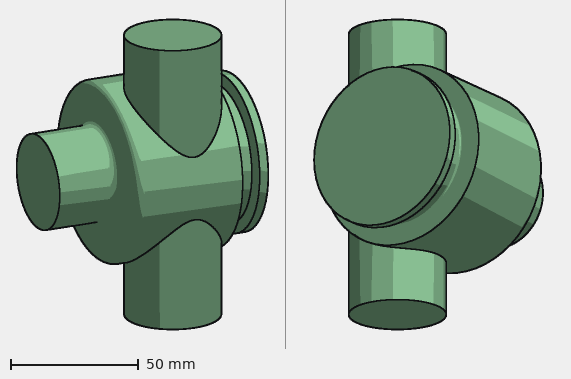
import cadquery as cq
import math

side_pipe_length = 115.1
side_pipe_diameter = 38.2
total_depth = 84.6

body_radius = 73.1 / 2
body_back = 13.5
body_front = 59.4
edge_radius = 3.1
flange_radius = 32.0
flange_rim_depth = 3.8
flange_taper_end = 5.2
neck_radius = 27.8
neck_fillet = 0.7
front_pipe_radius = side_pipe_diameter / 2

side_pipe_offset = 15.1
side_pipe_depth = 33.4


def make_housing():
    """Revolve the flange, neck, body and front pipe about the Y axis."""
    body_edge = body_radius - edge_radius
    pipe_root = front_pipe_radius + edge_radius
    neck_root = neck_radius + neck_fillet
    diagonal = edge_radius * math.sqrt(0.5)
    neck_diagonal = neck_fillet * math.sqrt(0.5)
    profile = (
        cq.Workplane("XY")
        .moveTo(0, 0)
        .lineTo(flange_radius, 0)
        .lineTo(flange_radius, -flange_rim_depth)
        .lineTo(neck_radius, -flange_taper_end)
        .lineTo(neck_radius, -(body_back - neck_fillet))
        .threePointArc(
            (neck_root - neck_diagonal, -(body_back - neck_fillet + neck_diagonal)),
            (neck_root, -body_back),
        )
        .lineTo(body_radius, -body_back)
        .lineTo(body_radius, -(body_front - edge_radius))
        .threePointArc(
            (body_edge + diagonal, -(body_front - edge_radius + diagonal)),
            (body_edge, -body_front),
        )
        .lineTo(pipe_root, -body_front)
        .threePointArc(
            (pipe_root - diagonal, -(body_front + edge_radius - diagonal)),
            (front_pipe_radius, -(body_front + edge_radius)),
        )
        .lineTo(front_pipe_radius, -total_depth)
        .lineTo(0, -total_depth)
        .close()
    )
    return profile.revolve(360, (0, 0, 0), (0, 1, 0))


def make_side_pipe():
    """Vertical pipe running through the body, off the housing axis."""
    return (
        cq.Workplane("XY")
        .center(side_pipe_offset, -side_pipe_depth)
        .circle(side_pipe_diameter / 2)
        .extrude(side_pipe_length / 2, both=True)
    )


result = make_housing().union(make_side_pipe())